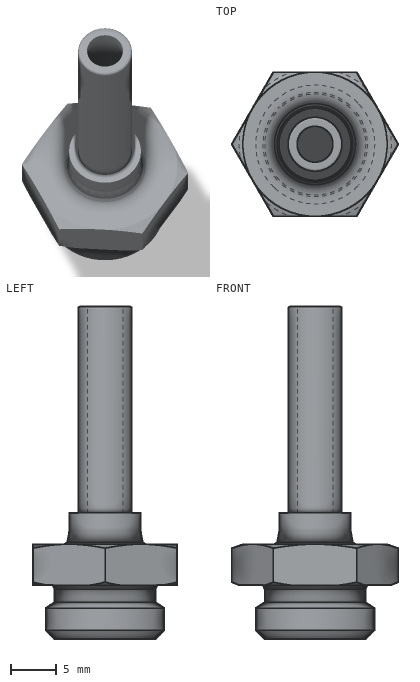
import cadquery as cq
import math

lead_in_top = 1.0
plug_top = 3.45
groove_bottom = 4.05
groove_top = 5.55
hex_bottom = 5.98
hex_top = 10.5
collar_cone_bottom = 10.75
collar_cone_top = 11.95
collar_top = 14.0
tube_top = 36.9

plug_radius = 6.6
lead_in_radius = plug_radius - lead_in_top
groove_radius = 5.6
groove_flare_radius = 5.8
collar_foot_radius = 4.5
collar_cone_radius = 4.2
collar_radius = 4.0
tube_radius = 3.0
bore_radius = 2.0
tube_end_fillet = 0.25

across_flats = 16.0
corner_radius = across_flats / math.sqrt(3)
hex_top_face_radius = across_flats / 2
hex_top_corner_drop = 0.45
hex_bottom_face_radius = 8.45
hex_bottom_corner_rise = 0.35


def revolve_profile(points):
    """Turn a closed (radius, height) outline around the Z axis."""
    return cq.Workplane("XZ").polyline(points).close().revolve(360, (0, 0, 0), (0, 1, 0))


def make_plug():
    """Plug with a tapered lead-in and an undercut below the hexagon."""
    return revolve_profile([
        (0, 0),
        (lead_in_radius, 0),
        (plug_radius, lead_in_top),
        (plug_radius, plug_top),
        (groove_radius, groove_bottom),
        (groove_radius, groove_top),
        (groove_flare_radius, hex_bottom),
        (0, hex_bottom),
    ])


def make_hexagon():
    """Hexagonal prism with its corners turned off conically at both ends."""
    prism = (
        cq.Workplane("XY")
        .workplane(offset=hex_bottom)
        .polygon(6, 2 * corner_radius)
        .extrude(hex_top - hex_bottom)
    )
    corner_envelope = revolve_profile([
        (0, hex_bottom),
        (hex_bottom_face_radius, hex_bottom),
        (corner_radius, hex_bottom + hex_bottom_corner_rise),
        (corner_radius, hex_top - hex_top_corner_drop),
        (hex_top_face_radius, hex_top),
        (0, hex_top),
    ])
    return prism.intersect(corner_envelope)


def make_collar_and_tube():
    """Flared collar and the long tube with a rounded end."""
    stem = revolve_profile([
        (0, hex_top),
        (collar_foot_radius, hex_top),
        (collar_cone_radius, collar_cone_bottom),
        (collar_radius, collar_cone_top),
        (collar_radius, collar_top),
        (tube_radius, collar_top),
        (tube_radius, tube_top),
        (0, tube_top),
    ])
    return stem.faces(">Z").edges().fillet(tube_end_fillet)


def make_bore():
    """Blind bore running the length of the tube."""
    return (
        cq.Workplane("XY")
        .workplane(offset=collar_top)
        .circle(bore_radius)
        .extrude(tube_top - collar_top)
    )


body = make_plug().union(make_hexagon()).union(make_collar_and_tube())
result = body.cut(make_bore())